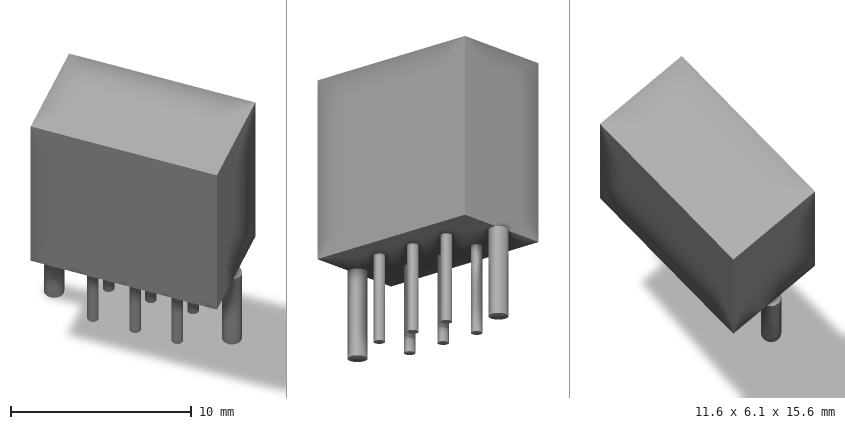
import cadquery as cq

housing_length = 11.0
housing_width = 6.1
housing_height = 10.5

overall_height = 15.6
overall_length = 11.62
pin_length = overall_height - housing_height
end_pin_diameter = 1.12
end_pin_offset = (overall_length - end_pin_diameter) / 2
contact_pin_diameter = 0.64
contact_pitch_x = 2.5
contact_row_spacing = 2.5
contact_columns = (-1, 0, 1)
sides = (-1, 1)


def make_housing():
    """Plain block standing on the plane Z = 0."""
    return cq.Workplane("XY").box(
        housing_length, housing_width, housing_height, centered=(True, True, False)
    )


def make_pin(diameter, x, y):
    """Round pin that touches the underside of the housing and points down."""
    return cq.Workplane("XY").center(x, y).circle(diameter / 2).extrude(-pin_length)


housing = make_housing()

end_pins = [make_pin(end_pin_diameter, side * end_pin_offset, 0) for side in sides]

contact_pins = [
    make_pin(contact_pin_diameter, column * contact_pitch_x, side * contact_row_spacing / 2)
    for column in contact_columns
    for side in sides
]

result = cq.Compound.makeCompound(
    [housing.val(), *[pin.val() for pin in end_pins + contact_pins]]
)